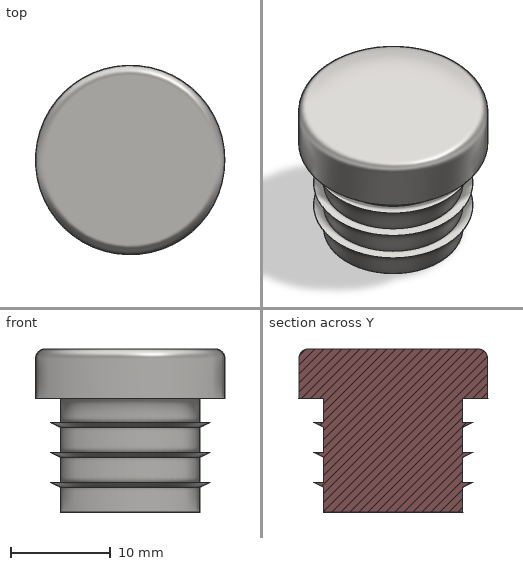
import cadquery as cq


head_diameter = 19.0
head_height = 5.0
head_rounding = 1.0
total_height = 16.4
stem_diameter = 14.0
fin_diameter = 16.0
fin_thickness = 0.5
fin_pitch = 3.0
fin_count = 3

stem_height = total_height - head_height
stem_radius = stem_diameter / 2
fin_radius = fin_diameter / 2


def make_head():
    """Flat-topped disc with a rounded upper rim."""
    disc = cq.Workplane("XY").workplane(offset=stem_height).circle(head_diameter / 2).extrude(head_height)
    return disc.faces(">Z").edges().fillet(head_rounding)


def make_stem():
    """Plain cylinder below the head."""
    return cq.Workplane("XY").circle(stem_radius).extrude(stem_height)


def make_fin(top_z):
    """Ring with a flat top and a conical underside, meeting in a sharp rim."""
    profile = [
        (0, top_z - fin_thickness),
        (stem_radius, top_z - fin_thickness),
        (fin_radius, top_z),
        (0, top_z),
    ]
    return cq.Workplane("XZ").polyline(profile).close().revolve(360, (0, 0), (0, 1))


result = make_head().union(make_stem())
for fin_number in range(1, fin_count + 1):
    result = result.union(make_fin(fin_number * fin_pitch))